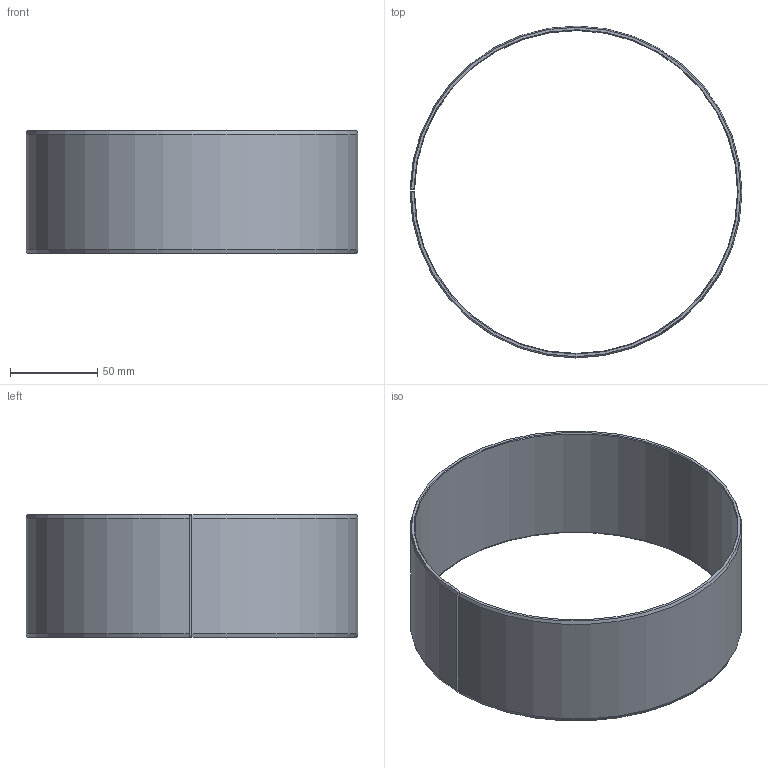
import math

import cadquery as cq

outer_diameter = 190.0
height = 70.0
wall = 2.5

outer_taper_height = 1.8
outer_taper_angle = 20.0
inner_taper_height = 0.6
inner_taper_angle = 30.0

slit_angle = 1.0

outer_radius = outer_diameter / 2
inner_radius = outer_radius - wall
outer_rim_radius = outer_radius - outer_taper_height * math.tan(math.radians(outer_taper_angle))
inner_rim_radius = inner_radius + inner_taper_height * math.tan(math.radians(inner_taper_angle))


def make_ring():
    """Revolve the wall section, tapered inside and outside at both rims, about Z."""
    section = [
        (inner_radius, inner_taper_height),
        (inner_rim_radius, 0),
        (outer_rim_radius, 0),
        (outer_radius, outer_taper_height),
        (outer_radius, height - outer_taper_height),
        (outer_rim_radius, height),
        (inner_rim_radius, height),
        (inner_radius, height - inner_taper_height),
    ]
    axis_start = (0, 0)
    axis_end = (0, 1)
    return cq.Workplane("XZ").polyline(section).close().revolve(360, axis_start, axis_end)


def make_slit():
    """Full-height wedge cutter from the axis out past the -X wall, on the +Y side of XZ."""
    reach = outer_diameter
    corner_offset = reach * math.tan(math.radians(slit_angle))
    outline = [(0, 0), (-reach, 0), (-reach, corner_offset)]
    return cq.Workplane("XY").polyline(outline).close().extrude(height)


result = make_ring().cut(make_slit())